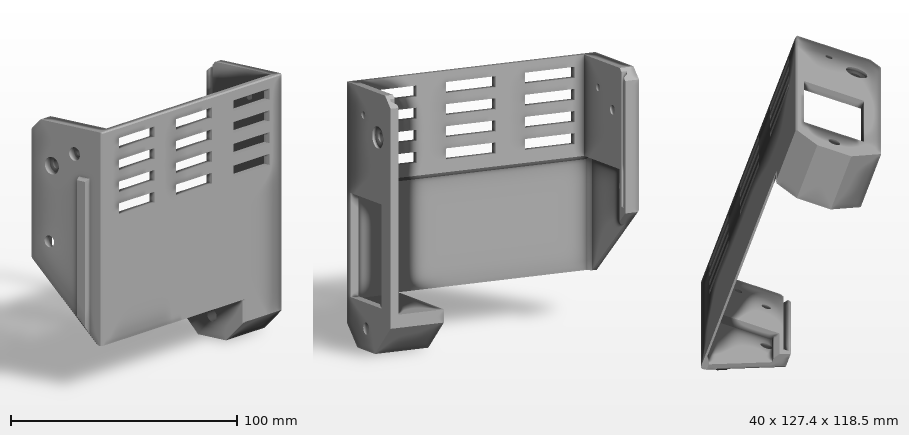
import cadquery as cq
import math

width = 40.0
length = 126.0
height = 118.5
back_wall = 3.0
near_wall = 7.0
far_wall = 4.0
edge_chamfer = 0.6
top_corner = 5.0

foot_top = 20.0
wall_bottom = 20.5
foot_depth = 27.0
plate_thickness = 0.8
foot_left_cut = 14.0
foot_right_cut = 10.0
foot_hole_x = 22.0
foot_hole_z = 10.0
screw_hole = 5.4

slope_start_z = 53.6
slope_end_x = 37.1

vent_length = 25.0
vent_height = 5.0
vent_columns = 3
vent_rows = 4
vent_pitch_y = 40.0
vent_pitch_z = 10.0
vent_top_margin = 5.0

recess_depth = 2.0
recess_top = 72.7
pocket_depth = 4.0
pocket_start_x = 5.4

window_left = 8.0
window_right = 36.2
window_bottom = 21.6
window_top = 68.7

groove_depth = 2.4
groove_mouth_x = 1.2
groove_floor_x = 2.6
groove_end_x = 3.5
near_groove_bottom = 56.0

small_hole = 3.3
small_bore = 6.2
small_hole_x = 24.5
small_hole_z = height - 12.45
large_hole = 4.3
large_bore = 8.0
large_hole_x = 11.55
large_hole_z = height - 20.1
bore_depth = 3.5
far_bore = 10.0
far_bore_depth = 1.5
access_hole_x = 10.1
access_hole_z = height - 55.1

ridge_height = 1.4
ridge_left = 27.0
ridge_right = 33.1
ridge_top = height - 22.3

inner_x = width - back_wall
inner_far_y = length - far_wall
foot_front_y = length - foot_depth
plate_back_y = foot_front_y + plate_thickness
slope_angle = math.degrees(math.atan2(slope_start_z - wall_bottom, slope_end_x))


def box(x0, x1, y0, y1, z0, z1):
    """Axis-aligned block between two corners."""
    return cq.Workplane("XY").box(x1 - x0, y1 - y0, z1 - z0, centered=False).translate((x0, y0, z0))


def prism_y(points, y0, y1):
    """XZ outline extruded from y0 to y1."""
    return cq.Workplane("XZ", origin=(0, y0, 0)).polyline(points).close().extrude(y0 - y1)


def drill_y(diameter, x, z, y0, y1):
    """Round cutter along Y."""
    return cq.Workplane("XZ", origin=(x, y0, z)).circle(diameter / 2).extrude(y0 - y1)


def foot_block(y0, y1):
    """Foot cross-section with its two cut lower corners and the screw hole."""
    outline = [
        (0, foot_top),
        (0, foot_left_cut),
        (foot_left_cut, 0),
        (width - foot_right_cut, 0),
        (width, foot_right_cut),
        (width, foot_top),
    ]
    hole = drill_y(screw_hole, foot_hole_x, foot_hole_z, y0, y1)
    return prism_y(outline, y0, y1).cut(hole)


def shell():
    """Back wall and two side walls, without details."""
    back = box(inner_x, width, 0, length, wall_bottom, height)
    near_outline = [
        (0, slope_start_z),
        (slope_end_x, wall_bottom),
        (width, wall_bottom),
        (width, height),
        (top_corner, height),
        (0, height - top_corner),
    ]
    far_outline = [
        (0, foot_top),
        (width, foot_top),
        (width, height),
        (top_corner, height),
        (0, height - top_corner),
    ]
    near = prism_y(near_outline, 0, near_wall)
    far = prism_y(far_outline, inner_far_y, length)
    back_root = box(inner_x, width, plate_back_y, length, foot_top, wall_bottom)
    walls = back.union(near).union(far).union(back_root)
    return walls.union(foot_block(plate_back_y, length))


def ridge():
    """Raised strip on the near wall, bevelled at its top and right side."""
    strip = box(ridge_left, ridge_right, -ridge_height, near_wall / 2, wall_bottom, ridge_top)
    return strip.faces("<Y").edges(">X or >Z").chamfer(ridge_height)


def below_slope():
    """Space under the sloped lower edge of the near wall."""
    end_x = 2 * slope_end_x
    end_z = 2 * wall_bottom - slope_start_z
    outline = [(0, slope_start_z), (end_x, end_z), (0, end_z)]
    return prism_y(outline, -ridge_height, near_wall)


def slope_bevel():
    """45 degree bevel along the outer sloped edge, running on across the ridge."""
    reach = edge_chamfer + ridge_height
    profile = [(edge_chamfer, 0), (-ridge_height, reach), (-ridge_height, 0)]
    bevel = cq.Workplane("YZ").polyline(profile).close().extrude(length, both=True)
    return bevel.rotate((0, 0, 0), (0, 1, 0), slope_angle).translate((0, 0, slope_start_z))


def recess():
    """Shallow recess in the back wall that runs on as a pocket in the near wall."""
    near_y = near_wall - pocket_depth
    floor_x = inner_x + recess_depth
    pocket_x = pocket_start_x + recess_depth
    cavity = box(pocket_x, floor_x, near_y, inner_far_y, foot_top, recess_top)
    cavity = cavity.faces(">X").edges("not <Z").chamfer(recess_depth)
    lead_in = (
        cq.Workplane("XY", origin=(0, 0, foot_top))
        .polyline([(pocket_start_x, near_wall), (pocket_x, near_wall), (pocket_x, near_wall - recess_depth)])
        .close()
        .extrude(recess_top - foot_top)
    )
    return cavity.union(lead_in)


def vents():
    """Grid of rectangular vent slots through the back wall, centred between the side walls."""
    mid_y = (near_wall + inner_far_y) / 2
    mid_z = height - vent_top_margin - ((vent_rows - 1) * vent_pitch_z + vent_height) / 2
    return (
        cq.Workplane("YZ", origin=(inner_x, mid_y, mid_z))
        .rarray(vent_pitch_y, vent_pitch_z, vent_columns, vent_rows)
        .rect(vent_length, vent_height)
        .extrude(back_wall)
    )


def groove(face_y, direction, z0):
    """Cover groove in the inner face of a side wall, with one sloped flank."""
    floor_y = face_y + direction * groove_depth
    outline = [
        (groove_mouth_x, face_y),
        (groove_floor_x, floor_y),
        (groove_end_x, floor_y),
        (groove_end_x, face_y),
    ]
    return cq.Workplane("XY", origin=(0, 0, z0)).polyline(outline).close().extrude(height - z0)


def housing_body():
    body = shell()
    body = body.faces(">X").edges("|Z or >Z").chamfer(edge_chamfer)
    body = body.union(ridge()).cut(below_slope())
    body = body.cut(slope_bevel())
    body = body.cut(recess()).cut(vents())
    body = body.cut(box(window_left, window_right, inner_far_y, length, window_bottom, window_top))
    body = body.cut(groove(near_wall, -1, near_groove_bottom))
    body = body.cut(groove(inner_far_y, 1, foot_top))
    for hole, bore, x, z in (
        (small_hole, small_bore, small_hole_x, small_hole_z),
        (large_hole, large_bore, large_hole_x, large_hole_z),
    ):
        body = body.cut(drill_y(hole, x, z, 0, length))
        body = body.cut(drill_y(bore, x, z, 0, bore_depth))
    body = body.cut(drill_y(far_bore, large_hole_x, large_hole_z, length - far_bore_depth, length))
    return body.cut(drill_y(screw_hole, access_hole_x, access_hole_z, 0, near_wall))


def cover_plate_body():
    """Thin plate on the front of the foot, with the same outline and hole."""
    plate = foot_block(foot_front_y, plate_back_y)
    return plate.faces(">X").edges("<Y").chamfer(edge_chamfer)


housing = housing_body()
cover_plate = cover_plate_body()

result = cq.Compound.makeCompound([housing.val(), cover_plate.val()])